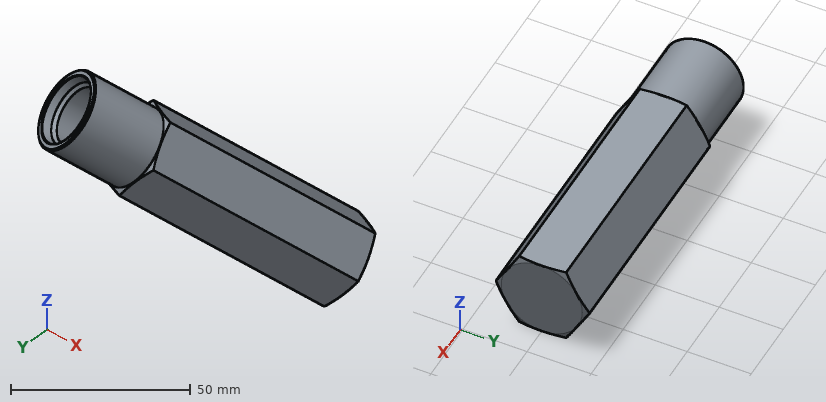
import cadquery as cq
import math

total_length = 101.6
hex_across_flats = 25.4
hex_across_corners = hex_across_flats / math.cos(math.radians(30))

spigot_diameter = 24.9
spigot_length = 25.2
spigot_chamfer = 0.4

bevel_start_diameter = 25.3
bevel_length = 0.6

mouth_diameter = 21.3
mouth_chamfer = 0.2
entry_diameter = mouth_diameter - 2 * mouth_chamfer
entry_end_diameter = 19.5
entry_depth = 2.8
bore_diameter = 17.6
step_length = 1.2
bore_depth = 76.2

start_x = -total_length / 2
end_x = total_length / 2
shoulder_x = start_x + spigot_length


def revolve_about_x(profile):
    """Turn an (x, radius) outline into a solid of revolution about the X axis."""
    return cq.Workplane("XY").polyline(profile).close().revolve(360, (0, 0, 0), (1, 0, 0))


def hexagonal_body():
    """Hexagonal bar with flats on top and bottom, its corners bevelled at both ends."""
    bar = (
        cq.Workplane("YZ", origin=(shoulder_x, 0, 0))
        .polygon(6, hex_across_corners)
        .extrude(end_x - shoulder_x)
    )
    inner_radius = bevel_start_diameter / 2
    corner_radius = hex_across_corners / 2
    envelope = revolve_about_x([
        (shoulder_x, 0),
        (shoulder_x, inner_radius),
        (shoulder_x + bevel_length, corner_radius),
        (end_x - bevel_length, corner_radius),
        (end_x, inner_radius),
        (end_x, 0),
    ])
    return bar.intersect(envelope)


def spigot():
    """Plain cylinder with a chamfered front rim."""
    return (
        cq.Workplane("YZ", origin=(start_x, 0, 0))
        .circle(spigot_diameter / 2)
        .extrude(spigot_length)
        .faces("<X").edges().chamfer(spigot_chamfer)
    )


def blind_bore():
    """Chamfered mouth, tapered entry, conical step and flat-bottomed blind bore."""
    step_start_x = start_x + entry_depth
    floor_x = start_x + bore_depth
    return revolve_about_x([
        (start_x, 0),
        (start_x, mouth_diameter / 2),
        (start_x + mouth_chamfer, entry_diameter / 2),
        (step_start_x, entry_end_diameter / 2),
        (step_start_x + step_length, bore_diameter / 2),
        (floor_x, bore_diameter / 2),
        (floor_x, 0),
    ])


result = hexagonal_body().union(spigot()).cut(blind_bore())